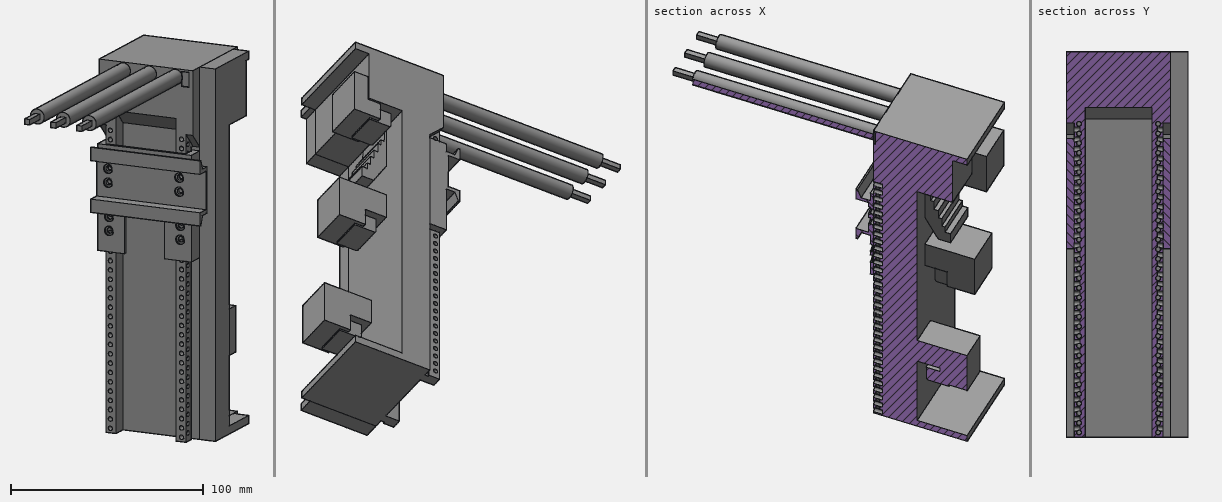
import cadquery as cq


BASE_WIDTH = 54.0
HEIGHT = 200.0
COLUMN_BACK_Y = -28.3
BLOCK_BACK_Y = -8.2
PANEL_Y = -45.0
FRONT_Y = -53.3
FLOOR_THICKNESS = 4.4
BLOCK_BOTTOM_Z = 166.0
STRIP_DEPTH = PANEL_Y - FRONT_Y

STRIP_OUTER_X = 3.9
STRIP_INNER_X = 9.75
CENTRE_RECESS_TOP_Z = 165.0
SIDE_RECESS_TOP_Z = 157.0
GROOVE_WIDTH = 2.0
GROOVE_DEPTH = 1.0
HOLE_X = 6.5
HOLE_DIAMETER = 2.4
HOLE_PITCH = 5.0
FRONT_HOLE_COUNT = 33
FRONT_HOLE_START_Z = 2.5
FRONT_HOLE_DEPTH = 5.0
CROSS_HOLE_COUNT = 32
CROSS_HOLE_START_Z = 4.5
CROSS_HOLE_DEPTH = 3.0
CROSS_HOLE_Y = FRONT_Y + 2.5

WINDOW_LEFT_X = 47.4
WINDOW_WIDTH = 4.4
WINDOW_BOTTOM_Z = 190.8
WINDOW_HEIGHT = 8.0
WINDOW_DEPTH = 1.0

HOOK_WIDTH = 22.0
HOOK_X_PITCH = 15.0
HOOK_Z_PITCH = 60.0
HOOK_TOP_Z = (181.0, 181.0 - HOOK_Z_PITCH, 181.0 - 2 * HOOK_Z_PITCH)
HOOK_ARM_HEIGHT = 15.0
HOOK_HEIGHT = 25.0
HOOK_FINGER_Y = -15.7
CLIP_INSET = 2.0
CLIP_BACK_Y = -10.4
CLIP_FRONT_Y = -23.4
CLIP_TOP_DROP = 17.0
CLIP_BOTTOM_DROP = 26.0
CLIP_FILLET = 1.5

PLATE_WIDTH = 9.0
PLATE_BACK_Y = -5.0

CARRIER_FRONT_Y = -55.1
CARRIER_TOP_Z = 155.0
CARRIER_BOTTOM_Z = 97.7
LEG_WIDTH = 15.5
RAIL_LENGTH = BASE_WIDTH + PLATE_WIDTH
RAIL_WEB_Y = -56.2
RAIL_FRONT_Y = -63.2
RAIL_CENTRE_Z = 137.5
RAIL_HALF_HEIGHT = 17.5
RAIL_HALF_WEB = 12.5
RAIL_HALF_CHANNEL = 10.3
RAIL_LIP_ROOT_Y = -60.2
RAIL_LIP_TIP_Y = -62.2
SCREW_Z = (142.5, 135.0, 116.4, 108.9)
SCREW_HOLE_DIAMETER = 3.0
SCREW_HEAD_DIAMETER = 5.0
SCREW_HEAD_DEPTH = 1.0

CABLE_COUNT = 3
CABLE_FIRST_X = 14.1
CABLE_PITCH = 15.0
CABLE_Z = 195.6
CABLE_DIAMETER = 8.0
CABLE_END_Y = -156.0
CONDUCTOR_SIZE = 3.0
CONDUCTOR_END_Y = -168.0


def box(x, y, z):
    """Box given by its (low, high) ranges along X, Y and Z."""
    return cq.Workplane("XY").box(
        x[1] - x[0], y[1] - y[0], z[1] - z[0], centered=False
    ).translate((x[0], y[0], z[0]))


def side_profile(points, x_start, width):
    """Extrude a (y, z) outline along +X."""
    return cq.Workplane("YZ", origin=(x_start, 0, 0)).polyline(points).close().extrude(width)


def bore(x, z, y_front, diameter, depth):
    """Cylinder that runs from y_front towards the rear."""
    return cq.Workplane("XZ", origin=(x, y_front, z)).circle(diameter / 2).extrude(-depth)


def mirrored(shape):
    """The shape reflected about the middle of the base width."""
    return shape.mirror("YZ", (BASE_WIDTH / 2, 0, 0))


def c_outline(back_y, front_y):
    """C-shaped outline: a column with a floor, a top block and a thin top lip."""
    lip_bottom_z = HEIGHT - FLOOR_THICKNESS
    return [
        (front_y, 0),
        (back_y, 0),
        (back_y, FLOOR_THICKNESS),
        (COLUMN_BACK_Y, FLOOR_THICKNESS),
        (COLUMN_BACK_Y, BLOCK_BOTTOM_Z),
        (BLOCK_BACK_Y, BLOCK_BOTTOM_Z),
        (BLOCK_BACK_Y, lip_bottom_z),
        (back_y, lip_bottom_z),
        (back_y, HEIGHT),
        (front_y, HEIGHT),
    ]


def front_recess(x_start, width, top_z):
    """Recess cut back to the panel plane, closed at the top by a 45 degree slope."""
    outline = [(FRONT_Y, 0), (PANEL_Y, 0), (PANEL_Y, top_z), (FRONT_Y, top_z + STRIP_DEPTH)]
    return side_profile(outline, x_start, width)


def undercut(top_z, bottom_z):
    """Block that fills the groove behind the left strip between two heights."""
    return box(
        (STRIP_OUTER_X, STRIP_OUTER_X + GROOVE_DEPTH),
        (PANEL_Y - GROOVE_WIDTH, PANEL_Y),
        (bottom_z, top_z),
    )


def strip_holes():
    """Front holes and the blind cross holes in the outer side of the left strip."""
    holes = cq.Workplane("XY")
    for i in range(FRONT_HOLE_COUNT):
        z = FRONT_HOLE_START_Z + i * HOLE_PITCH
        holes.add(bore(HOLE_X, z, FRONT_Y, HOLE_DIAMETER, FRONT_HOLE_DEPTH))
    for i in range(CROSS_HOLE_COUNT):
        z = CROSS_HOLE_START_Z + i * HOLE_PITCH
        cross_hole = cq.Workplane("YZ", origin=(STRIP_OUTER_X, CROSS_HOLE_Y, z)).circle(HOLE_DIAMETER / 2)
        holes.add(cross_hole.extrude(CROSS_HOLE_DEPTH))
    return holes.combine()


def hook(x_start, top_z):
    """Busbar hook with the contact clip at its finger."""
    arm_bottom_z = top_z - HOOK_ARM_HEIGHT
    bottom_z = top_z - HOOK_HEIGHT
    outline = [
        (0, top_z),
        (COLUMN_BACK_Y, top_z),
        (COLUMN_BACK_Y, arm_bottom_z),
        (HOOK_FINGER_Y, arm_bottom_z),
        (HOOK_FINGER_Y, bottom_z),
        (0, bottom_z),
    ]
    clip = box(
        (x_start + CLIP_INSET, x_start + HOOK_WIDTH - CLIP_INSET),
        (CLIP_FRONT_Y, CLIP_BACK_Y),
        (top_z - CLIP_BOTTOM_DROP, top_z - CLIP_TOP_DROP),
    )
    clip = clip.faces("<Y").edges("<Z").fillet(CLIP_FILLET)
    return side_profile(outline, x_start, HOOK_WIDTH).union(clip)


def make_base():
    body = side_profile(c_outline(0, FRONT_Y), 0, BASE_WIDTH)
    body = body.cut(
        front_recess(STRIP_INNER_X, BASE_WIDTH - 2 * STRIP_INNER_X, CENTRE_RECESS_TOP_Z)
    )
    left_cuts = front_recess(0, STRIP_OUTER_X, SIDE_RECESS_TOP_Z).union(undercut(SIDE_RECESS_TOP_Z, 0))
    holes = strip_holes()
    for cutter in (left_cuts, holes):
        body = body.cut(cutter).cut(mirrored(cutter))
    window = box(
        (WINDOW_LEFT_X, WINDOW_LEFT_X + WINDOW_WIDTH),
        (FRONT_Y, FRONT_Y + WINDOW_DEPTH),
        (WINDOW_BOTTOM_Z, WINDOW_BOTTOM_Z + WINDOW_HEIGHT),
    )
    body = body.cut(window)
    middle_hook_x = (BASE_WIDTH - HOOK_WIDTH) / 2
    for i, top_z in enumerate(HOOK_TOP_Z):
        body = body.union(hook(middle_hook_x + (i - 1) * HOOK_X_PITCH, top_z))
    return body


def make_side_plate():
    return side_profile(c_outline(PLATE_BACK_Y, PANEL_Y), BASE_WIDTH, PLATE_WIDTH)


def make_lever():
    """Stepped release lever against the rear of the column."""
    outline = [
        (COLUMN_BACK_Y, 165.0),
        (-27.5, 165.0),
        (-27.0, 156.3),
        (-25.0, 156.3),
        (-25.0, 153.1),
        (-23.2, 153.1),
        (-23.2, 147.6),
        (-20.7, 147.6),
        (-20.7, 142.6),
        (-18.7, 142.6),
        (-18.7, 137.5),
        (-16.8, 137.5),
        (-16.8, 133.8),
        (-13.7, 133.8),
        (-13.7, 127.5),
        (-20.7, 127.5),
        (COLUMN_BACK_Y, 140.0),
    ]
    return side_profile(outline, (BASE_WIDTH - HOOK_WIDTH) / 2, HOOK_WIDTH)


def rail_half():
    """Upper half of the DIN rail."""
    channel_z = RAIL_CENTRE_Z + RAIL_HALF_CHANNEL
    web_top_z = RAIL_CENTRE_Z + RAIL_HALF_WEB
    tip_z = RAIL_CENTRE_Z + RAIL_HALF_HEIGHT
    outline = [
        (CARRIER_FRONT_Y, RAIL_CENTRE_Z),
        (RAIL_WEB_Y, RAIL_CENTRE_Z),
        (RAIL_WEB_Y, channel_z),
        (RAIL_FRONT_Y, channel_z),
        (RAIL_FRONT_Y, tip_z),
        (RAIL_LIP_TIP_Y, tip_z),
        (RAIL_LIP_ROOT_Y, web_top_z),
        (CARRIER_FRONT_Y, web_top_z),
    ]
    return side_profile(outline, 0, RAIL_LENGTH)


def make_carrier():
    """Plate with two legs that clamp the strips, and the DIN rail on its front."""
    leg_z = (CARRIER_BOTTOM_Z, CARRIER_TOP_Z)
    leg = box((0, LEG_WIDTH), (CARRIER_FRONT_Y, FRONT_Y), leg_z)
    leg = leg.union(box((0, STRIP_OUTER_X), (CARRIER_FRONT_Y, PANEL_Y), leg_z))
    leg = leg.union(undercut(CARRIER_TOP_Z, CARRIER_BOTTOM_Z))
    bridge = box(
        (0, BASE_WIDTH),
        (CARRIER_FRONT_Y, FRONT_Y),
        (RAIL_CENTRE_Z - RAIL_HALF_WEB, CARRIER_TOP_Z),
    )
    half = rail_half()
    body = bridge.union(leg).union(mirrored(leg))
    body = body.union(half).union(half.mirror("XY", (0, 0, RAIL_CENTRE_Z)))
    for z in SCREW_Z:
        front_y = RAIL_WEB_Y if abs(z - RAIL_CENTRE_Z) < RAIL_HALF_CHANNEL else CARRIER_FRONT_Y
        head = bore(HOLE_X, z, front_y, SCREW_HEAD_DIAMETER, SCREW_HEAD_DEPTH)
        shank = bore(HOLE_X, z, front_y, SCREW_HOLE_DIAMETER, FRONT_Y - front_y)
        screw = head.union(shank)
        body = body.cut(screw).cut(mirrored(screw))
    return body


def make_cable(x):
    """Insulated cable with a bare square conductor at its end."""
    insulation = bore(x, CABLE_Z, CABLE_END_Y, CABLE_DIAMETER, FRONT_Y - CABLE_END_Y)
    conductor = cq.Workplane("XZ", origin=(x, CABLE_END_Y, CABLE_Z)).rect(CONDUCTOR_SIZE, CONDUCTOR_SIZE)
    return insulation.union(conductor.extrude(CABLE_END_Y - CONDUCTOR_END_Y))


base = make_base()
side_plate = make_side_plate()
lever = make_lever()
carrier = make_carrier()
cables = [make_cable(CABLE_FIRST_X + i * CABLE_PITCH) for i in range(CABLE_COUNT)]

result = cq.Compound.makeCompound(
    [
        base.val(),
        side_plate.val(),
        lever.val(),
        carrier.val(),
        *[cable.val() for cable in cables],
    ]
)